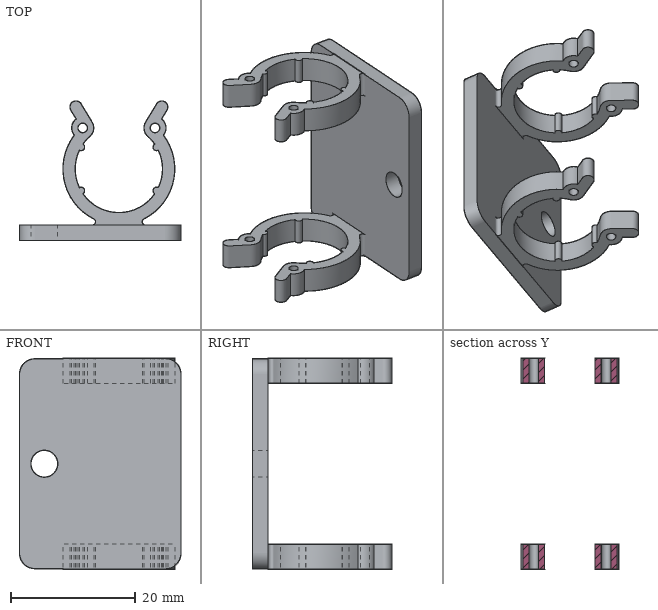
import cadquery as cq
import math

plate_width = 26.0
plate_height = 33.8
plate_thickness = 2.5
plate_corner_radius = 2.5
plate_hole_diameter = 4.3
plate_hole_edge_distance = 4.0

overall_height = 34.0
overall_depth = 22.47
clip_depth = 4.08
clip_x = 3.0
ring_outer_radius = 9.0
ring_inner_radius = 7.0
ring_y = plate_thickness + ring_outer_radius
foot_fillet_radius = 0.5

eye_x = 5.8
eye_y = 6.6
eye_radius = math.hypot(eye_x, eye_y) - ring_inner_radius
eye_hole_diameter = 1.5

tip_x = 6.9
tip_radius = 1.0
tip_y = overall_depth - ring_y - tip_radius

bead_radius = 0.58
bead_angles = (30, 150, 210, 330)


def make_plate():
    hole_x = plate_hole_edge_distance - plate_width / 2
    plate = cq.Workplane("XY").box(plate_width, plate_thickness, plate_height)
    plate = plate.edges("|Y").fillet(plate_corner_radius)
    plate = plate.faces("<Y").workplane(origin=(hole_x, 0, 0)).hole(plate_hole_diameter)
    return plate.translate((0, plate_thickness / 2, 0))


def disc(x, y, radius):
    return cq.Workplane("XY").center(x, y).circle(radius).extrude(clip_depth)


def prism(points):
    return cq.Workplane("XY").polyline(points).close().extrude(clip_depth)


def make_open_ring():
    ring = disc(0, 0, ring_outer_radius).cut(disc(0, 0, ring_inner_radius))
    reach = 2
    mouth = prism([(0, 0), (reach * eye_x, reach * eye_y), (-reach * eye_x, reach * eye_y)])
    return ring.cut(mouth)


def make_foot():
    """Web between ring and plate, with concave fillets tangent to both."""
    fillet_x = 2 * math.sqrt(ring_outer_radius * foot_fillet_radius)
    fillet_y = foot_fillet_radius - ring_outer_radius
    tangent_ratio = ring_outer_radius / (ring_outer_radius + foot_fillet_radius)
    ring_x = fillet_x * tangent_ratio
    ring_tangent_y = fillet_y * tangent_ratio
    foot = prism([
        (-fillet_x, -ring_outer_radius),
        (fillet_x, -ring_outer_radius),
        (ring_x, ring_tangent_y),
        (-ring_x, ring_tangent_y),
    ])
    for side in (-1, 1):
        foot = foot.cut(disc(side * fillet_x, fillet_y, foot_fillet_radius))
    return foot.cut(disc(0, 0, ring_inner_radius))


def make_arm(side):
    """Eye and lead-in arm; the arm's inner edge is tangent to the eye and the tip."""
    run = tip_x - eye_x
    rise = tip_y - eye_y
    tilt = math.atan2(rise, run) - math.asin((eye_radius - tip_radius) / math.hypot(run, rise))
    length = run * math.cos(tilt) + rise * math.sin(tilt)
    strip = (
        cq.Workplane("XY")
        .rect(length, 2 * tip_radius)
        .extrude(clip_depth)
        .translate((-length / 2, 0, 0))
        .rotate((0, 0, 0), (0, 0, 1), math.degrees(tilt))
        .translate((tip_x, tip_y, 0))
    )
    arm = strip.union(disc(tip_x, tip_y, tip_radius)).union(disc(eye_x, eye_y, eye_radius))
    return arm if side > 0 else arm.mirror("YZ")


def make_clip():
    clip = make_open_ring().union(make_foot())
    for angle in bead_angles:
        bead_x = ring_inner_radius * math.cos(math.radians(angle))
        bead_y = ring_inner_radius * math.sin(math.radians(angle))
        clip = clip.union(disc(bead_x, bead_y, bead_radius))
    for side in (-1, 1):
        clip = clip.union(make_arm(side))
        clip = clip.cut(disc(side * eye_x, eye_y, eye_hole_diameter / 2))
    return clip.translate((clip_x, ring_y, 0))


clip = make_clip()
bottom_clip = clip.translate((0, 0, -overall_height / 2))
top_clip = clip.translate((0, 0, overall_height / 2 - clip_depth))
result = make_plate().union(bottom_clip).union(top_clip)